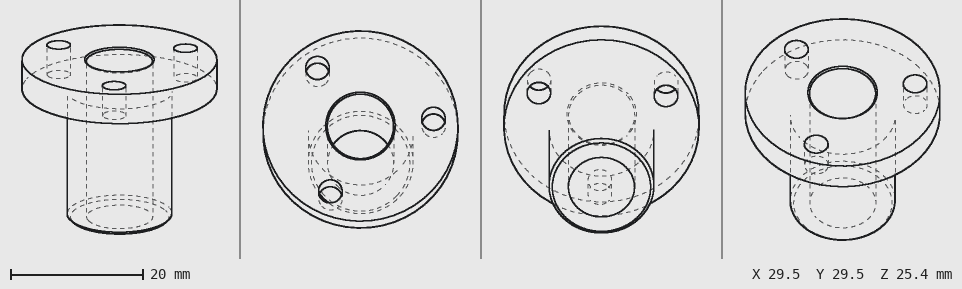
import cadquery as cq

overall_length = 25.4
flange_diameter = 29.5
flange_thickness = 4.75
sleeve_diameter = 15.875
bore_diameter = 10.0
bore_chamfer = 0.25
neck_fillet = 0.5
end_chamfer = 0.5
hole_count = 3
hole_diameter = 3.57
hole_circle_diameter = 22.2
first_hole_angle = 90.0
full_turn = 360.0

flange_radius = flange_diameter / 2
sleeve_radius = sleeve_diameter / 2
bore_radius = bore_diameter / 2
hole_circle_radius = hole_circle_diameter / 2
flange_underside = overall_length - flange_thickness


def make_flanged_sleeve():
    """Hollow sleeve and flange turned about Z, with the sleeve end at Z = 0."""
    half_section = (
        cq.Workplane("XZ")
        .moveTo(bore_radius, 0)
        .lineTo(sleeve_radius - end_chamfer, 0)
        .lineTo(sleeve_radius, end_chamfer)
        .lineTo(sleeve_radius, flange_underside - neck_fillet)
        .radiusArc((sleeve_radius + neck_fillet, flange_underside), neck_fillet)
        .lineTo(flange_radius, flange_underside)
        .lineTo(flange_radius, overall_length)
        .lineTo(bore_radius + bore_chamfer, overall_length)
        .lineTo(bore_radius, overall_length - bore_chamfer)
        .close()
    )
    return half_section.revolve(full_turn, (0, 0, 0), (0, 1, 0))


def cut_mounting_holes(body):
    """Equally spaced plain holes through the flange."""
    holes = (
        cq.Workplane("XY")
        .workplane(offset=flange_underside)
        .polarArray(hole_circle_radius, first_hole_angle, full_turn, hole_count)
        .circle(hole_diameter / 2)
        .extrude(flange_thickness)
    )
    return body.cut(holes)


result = cut_mounting_holes(make_flanged_sleeve())